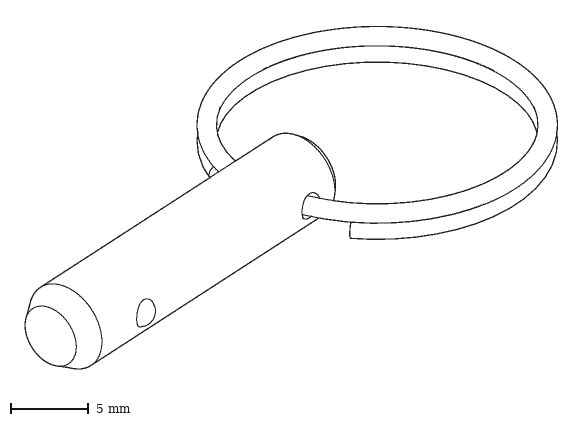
import cadquery as cq
import math

total_length = 45.1
pin_diameter = 6.0
pin_length = 26.0
pin_radius = pin_diameter / 2
tip_length = 1.55
tip_radius = 2.1
rear_chamfer_length = 0.6
rear_chamfer_depth = 0.4

ring_diameter = 23.15
wire_diameter = 1.25
coil_pitch = 1.2
lower_gap_half_angle = 30
coil_radius = (ring_diameter - wire_diameter) / 2

ring_hole_diameter = 1.8
pin_front_y = -total_length / 2
ring_center_y = (total_length - ring_diameter) / 2
ring_hole_y = ring_center_y - math.sqrt(coil_radius**2 - pin_radius**2)

ball_diameter = 2.05
ball_protrusion = 0.55
ball_from_tip = 6.0


def make_pin():
    rear_y = pin_front_y + pin_length
    profile = (
        cq.Workplane("XY")
        .moveTo(0, pin_front_y)
        .lineTo(tip_radius, pin_front_y)
        .lineTo(pin_radius, pin_front_y + tip_length)
        .lineTo(pin_radius, rear_y - rear_chamfer_length)
        .lineTo(pin_radius - rear_chamfer_depth, rear_y)
        .lineTo(0, rear_y)
        .close()
    )
    return profile.revolve(360, (0, 0, 0), (0, 1, 0))


def make_ring_hole():
    return (
        cq.Workplane("YZ")
        .center(ring_hole_y, 0)
        .circle(ring_hole_diameter / 2)
        .extrude(pin_radius, both=True)
    )


def make_ball():
    center_x = pin_radius + ball_protrusion - ball_diameter / 2
    center_y = pin_front_y + ball_from_tip
    return cq.Workplane("XY").sphere(ball_diameter / 2).translate((center_x, center_y, 0))


def make_coil(gap_half_angle, height):
    """Wire coil around Z, open by the given angle on both sides of -Y."""
    wire = cq.Workplane("YZ").center(-coil_radius, 0).circle(wire_diameter / 2)
    coil = wire.revolve(360 - 2 * gap_half_angle, (coil_radius, 0, 0), (coil_radius, 1, 0))
    return coil.rotate((0, 0, 0), (0, 0, 1), gap_half_angle).translate((0, ring_center_y, height))


upper_coil = make_coil(0, 0)
lower_coil = make_coil(lower_gap_half_angle, -coil_pitch)

pin = make_pin().cut(make_ring_hole()).union(make_ball())
result = pin.union(upper_coil).union(lower_coil)